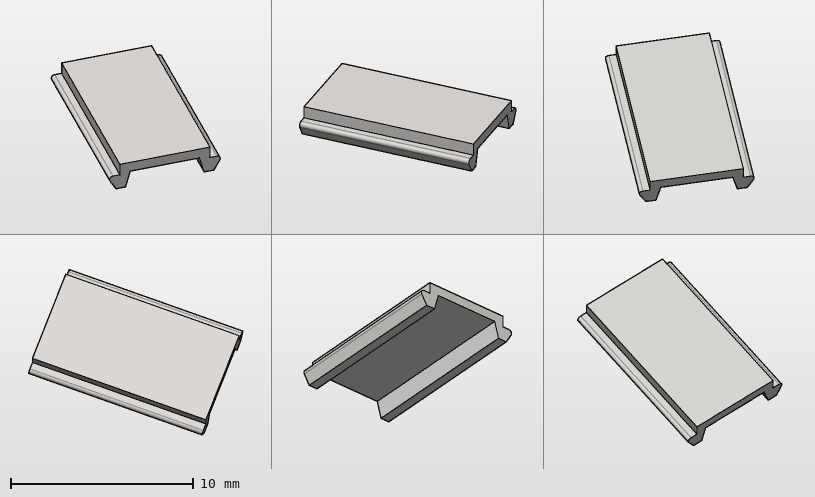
import cadquery as cq
import math

length = 10.15
width = 6.4
height = 1.6

plate_width = 5.2
plate_thickness = 0.6

ledge_depth = 0.7
nose_radius = 0.2
outer_slope = 30.0

channel_top_width = 4.0
channel_slope = 15.0


def half_section():
    """Closed YZ outline of the +Y half, with Z = 0 at the rail feet."""
    ledge_z = height - ledge_depth
    channel_z = height - plate_thickness
    plate_y = plate_width / 2
    channel_top_y = channel_top_width / 2
    foot_inner_y = channel_top_y + channel_z * math.tan(math.radians(channel_slope))

    nose_y = width / 2 - nose_radius
    nose_z = ledge_z - nose_radius
    slope = math.radians(outer_slope)
    flank_y = nose_y + nose_radius * math.cos(slope)
    flank_z = nose_z - nose_radius * math.sin(slope)
    foot_outer_y = flank_y - flank_z * math.tan(slope)

    return (
        cq.Workplane("YZ", origin=(-length / 2, 0, 0))
        .moveTo(0, height)
        .lineTo(plate_y, height)
        .lineTo(plate_y, ledge_z)
        .lineTo(nose_y, ledge_z)
        .threePointArc((nose_y + nose_radius, nose_z), (flank_y, flank_z))
        .lineTo(foot_outer_y, 0)
        .lineTo(foot_inner_y, 0)
        .lineTo(channel_top_y, channel_z)
        .lineTo(0, channel_z)
        .close()
    )


half = half_section().extrude(length)
result = half.union(half.mirror("XZ")).clean()